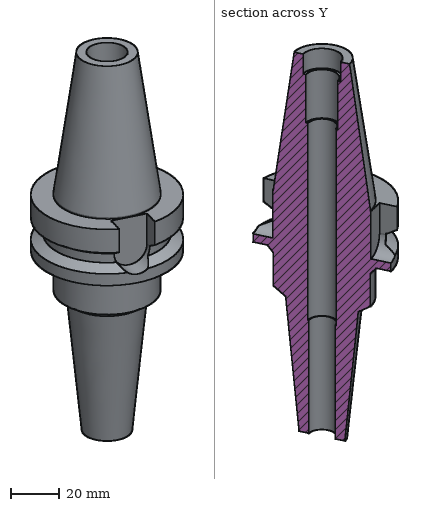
import cadquery as cq

TOTAL_LENGTH = 175.4
NECK_TOP = 61.2
BODY_BOTTOM = 64.9
BODY_TOP = 80.2
FLANGE_BOTTOM = 83.1
LOWER_RIM_TOP = 88.5
GROOVE_BOTTOM = 91.2
GROOVE_TOP = 95.5
UPPER_RIM_BOTTOM = 98.4
FLANGE_TOP = 109.3
TAPER_BOTTOM = 110.0

NOSE_END_DIAMETER = 21.0
NECK_DIAMETER = 33.3
BODY_DIAMETER = 44.4
FLANGE_CONE_DIAMETER = 49.8
FLANGE_DIAMETER = 63.0
GROOVE_DIAMETER = 53.0
TAPER_END_DIAMETER = 25.5

SLOT_WIDTH = 16.1
SLOT_BOTTOM = 87.2
SLOT_FLOOR_DISTANCE = 22.5

ENTRY_BORE_DIAMETER = 17.0
ENTRY_BORE_DEPTH = 9.1
THREAD_BORE_DIAMETER = 14.4
THREAD_BORE_DEPTH = 31.5
INNER_BORE_DIAMETER = 12.6
INNER_BORE_DEPTH = 122.8
THROUGH_BORE_DIAMETER = 12.0


def make_body():
    """Revolve the holder: nose, body, grooved flange and taper."""
    outline = [
        (NOSE_END_DIAMETER, 0),
        (NECK_DIAMETER, NECK_TOP),
        (BODY_DIAMETER, BODY_BOTTOM),
        (BODY_DIAMETER, BODY_TOP),
        (FLANGE_CONE_DIAMETER, FLANGE_BOTTOM),
        (FLANGE_DIAMETER, FLANGE_BOTTOM),
        (FLANGE_DIAMETER, LOWER_RIM_TOP),
        (GROOVE_DIAMETER, GROOVE_BOTTOM),
        (GROOVE_DIAMETER, GROOVE_TOP),
        (FLANGE_DIAMETER, UPPER_RIM_BOTTOM),
        (FLANGE_DIAMETER, FLANGE_TOP),
        (BODY_DIAMETER, FLANGE_TOP),
        (BODY_DIAMETER, TAPER_BOTTOM),
        (TAPER_END_DIAMETER, TOTAL_LENGTH),
    ]
    half_section = [(diameter / 2, height) for diameter, height in outline]
    points = [(0, 0)] + half_section + [(0, TOTAL_LENGTH)]
    return cq.Workplane("XZ").polyline(points).close().revolve(360, (0, 0), (0, 1))


def make_bore(diameter, depth):
    """Make a cylinder going down from the taper end."""
    return cq.Workplane("XY").workplane(offset=TOTAL_LENGTH).circle(diameter / 2).extrude(-depth)


def make_drive_slot(side):
    """Make a round-bottomed slot, open upwards and outwards; side is +1 or -1 along X."""
    arc_center_height = SLOT_BOTTOM + SLOT_WIDTH / 2
    slot = (
        cq.Workplane("YZ")
        .workplane(offset=side * SLOT_FLOOR_DISTANCE)
        .moveTo(-SLOT_WIDTH / 2, FLANGE_TOP)
        .lineTo(-SLOT_WIDTH / 2, arc_center_height)
        .threePointArc((0, SLOT_BOTTOM), (SLOT_WIDTH / 2, arc_center_height))
        .lineTo(SLOT_WIDTH / 2, FLANGE_TOP)
        .close()
    )
    return slot.extrude(side * FLANGE_DIAMETER / 2)


result = make_body()
for bore_diameter, bore_depth in (
    (ENTRY_BORE_DIAMETER, ENTRY_BORE_DEPTH),
    (THREAD_BORE_DIAMETER, THREAD_BORE_DEPTH),
    (INNER_BORE_DIAMETER, INNER_BORE_DEPTH),
    (THROUGH_BORE_DIAMETER, TOTAL_LENGTH),
):
    result = result.cut(make_bore(bore_diameter, bore_depth))
for slot_side in (-1, 1):
    result = result.cut(make_drive_slot(slot_side))